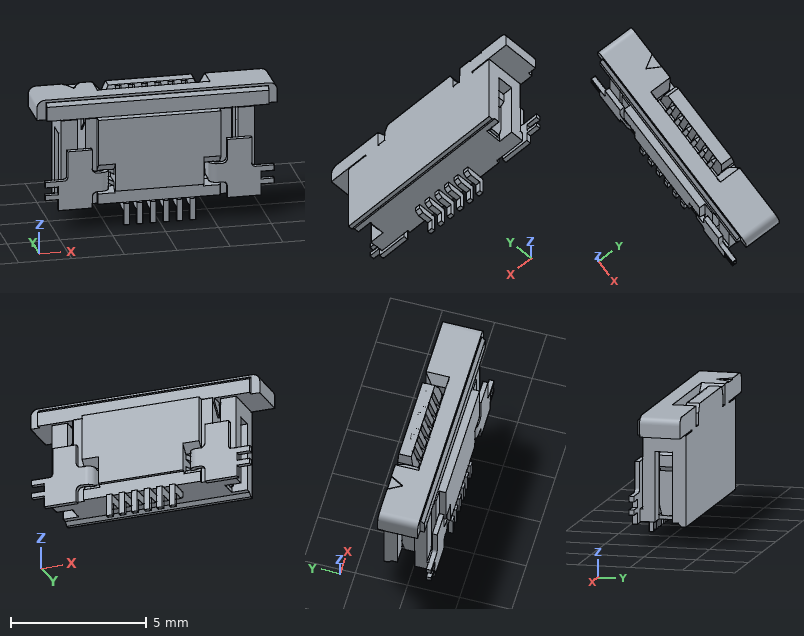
import cadquery as cq


total_length = 9.1
total_depth = 2.0
top_z = 5.0
cover_bottom_z = 4.21
housing_bottom_z = 0.85

cover_front_y = 0.46
cover_corner_radius = 0.3
lip_half_length = 4.2
lip_front_y = 0.3
lip_top_z = 4.9
lip_ledge_y = 0.44
lip_front_z = 4.77
cable_notch_top_half = 2.13
cable_notch_bottom_half = 1.82
cable_notch_front_y = 1.1
cable_notch_slope_height = 0.31
notch_corner_y = 1.71
mark_center_x = -2.94
mark_width = 0.6
mark_length = 0.52
mark_depth = 0.05

housing_half_length = 3.66
housing_front_y = 0.25
core_half_length = 2.77
cheek_inner_x = 3.04
cheek_front_y = 0.355
cheek_top_z = 4.17
foot_band_top_z = 1.32
heel_bottom_z = 0.71
heel_flat = 0.16
channel_back_y = 1.565
window_front_y = 0.82
window_back_y = 1.48
window_top_z = 3.51

pad_half_length = 2.32
pad_step_y = 0.13
pad_step_z = 1.365

leg_inner_x = 2.94
leg_outer_x = 3.15
leg_front_y = 0.855
leg_back_y = 1.45
leg_tip_z = 1.01
leg_taper_z = 1.44
leg_tip_inset = 0.1
root_front_y = 0.79
gusset_outer_x = 2.82
gusset_front_y = 0.3
gusset_nose_z = 4.06
gusset_bottom_z = 3.6
catch_front_y = 0.9
catch_back_y = 1.4
catch_bottom_z = 2.7
catch_height = 0.19

tongue_half_length = 1.78
tongue_top_front_y = 1.52
tongue_base_front_y = 1.27
tongue_side_inset = 0.155
tongue_side_drop = 0.34

contact_count = 6
contact_pitch = 0.5
contact_width = 0.22
contact_slot_front_y = 1.15
contact_peak_y = 1.41
contact_peak_z = 4.19
contact_tip_z = 3.91
contact_slot_back_y = 1.77
contact_slot_top_z = 4.95
tail_thickness = 0.16
tail_back_y = 0.8
tail_root_z = 0.52
tail_chamfer_z = 0.65
tail_chamfer_y = 0.64

tab_thickness = 0.19
tab_inner_x = 2.56
tab_outer_x = 3.485
tab_wide_x = 3.83
tab_top_z = 3.07
tab_bottom_z = 0.76
finger_end_x = 4.33
upper_finger_z = (1.7, 1.92)
lower_finger_z = (1.2, 1.4)
strap_bottom_z = 1.4
strap_top_z = 2.14
strap_bend_radius = 0.3
strap_inner_x = 1.89
tab_outer_fillet = 0.14
tab_inner_fillet = 0.19

pocket_inner_x = 1.67
pocket_top_z = 2.44
pocket_bottom_z = 1.26
pocket_slope_depth = 0.31
pocket_deep_top_z = 2.12
pocket_deep_bottom_z = 1.465
pocket_depth = 0.82
pocket_slot_bottom_z = 1.62
pocket_slot_top_z = 1.92
pocket_slot_depth = 0.91

corner_reach = 0.09


def box(x, y, z):
    """Box from (low, high) pairs along each axis."""
    size = (x[1] - x[0], y[1] - y[0], z[1] - z[0])
    return cq.Workplane("XY").box(*size, centered=False).translate((x[0], y[0], z[0]))


def prism_along_x(points_yz, x):
    """Extrude a YZ outline between two X positions."""
    profile = cq.Workplane("YZ", origin=(x[0], 0, 0)).polyline(points_yz).close()
    return profile.extrude(x[1] - x[0])


def both_ends(shape):
    """The shape together with its mirror image in the X = 0 plane."""
    return shape.union(shape.mirror("YZ"))


def symmetric(half):
    return (-half, half)


def make_cover():
    bar = box(symmetric(total_length / 2), (cover_front_y, total_depth), (cover_bottom_z, top_z))
    bar = bar.edges("|Y and >Z").fillet(cover_corner_radius)
    lip = prism_along_x(
        [
            (cover_front_y, cover_bottom_z),
            (lip_front_y, cover_bottom_z),
            (lip_front_y, lip_front_z),
            (lip_ledge_y, lip_top_z),
            (cover_front_y, lip_top_z),
        ],
        symmetric(lip_half_length),
    )
    slope_foot_z = top_z - cable_notch_slope_height
    notch_depth = total_depth - cable_notch_front_y
    notch = (
        cq.Workplane("XZ", origin=(0, total_depth, 0))
        .polyline(
            [
                (-cable_notch_bottom_half, cover_bottom_z),
                (cable_notch_bottom_half, cover_bottom_z),
                (cable_notch_bottom_half, slope_foot_z),
                (cable_notch_top_half, top_z),
                (-cable_notch_top_half, top_z),
                (-cable_notch_bottom_half, slope_foot_z),
            ]
        )
        .close()
        .extrude(notch_depth)
    )
    notch_flare = (
        cq.Workplane("XY", origin=(0, 0, cover_bottom_z))
        .polyline(
            [
                (-cable_notch_top_half, total_depth),
                (-cable_notch_bottom_half, notch_corner_y),
                (cable_notch_bottom_half, notch_corner_y),
                (cable_notch_top_half, total_depth),
            ]
        )
        .close()
        .extrude(top_z - cover_bottom_z)
    )
    first_contact_mark = (
        cq.Workplane("XY", origin=(mark_center_x, total_depth, top_z - mark_depth))
        .polyline([(-mark_width / 2, 0), (mark_width / 2, 0), (0, -mark_length)])
        .close()
        .extrude(mark_depth)
    )
    return bar.union(lip).cut(notch).cut(notch_flare).cut(first_contact_mark)


def make_housing():
    heel_drop = housing_bottom_z - heel_bottom_z
    heel_y = total_depth - heel_flat
    body = prism_along_x(
        [
            (housing_front_y, housing_bottom_z),
            (heel_y - heel_drop, housing_bottom_z),
            (heel_y, heel_bottom_z),
            (total_depth, heel_bottom_z),
            (total_depth, cheek_top_z),
            (cheek_front_y, cheek_top_z),
            (cheek_front_y, foot_band_top_z),
            (housing_front_y, foot_band_top_z),
        ],
        symmetric(housing_half_length),
    )
    core = box(
        symmetric(core_half_length), (housing_front_y, total_depth), (housing_bottom_z, cover_bottom_z)
    )
    channel = box(
        (core_half_length, cheek_inner_x),
        (cheek_front_y, channel_back_y),
        (leg_tip_z, cover_bottom_z),
    )
    channel_mouth = box(
        (core_half_length, cheek_inner_x),
        (housing_front_y, cheek_front_y),
        (foot_band_top_z, cover_bottom_z),
    )
    window = box(
        (cheek_inner_x, housing_half_length),
        (window_front_y, window_back_y),
        (housing_bottom_z, window_top_z),
    )
    pad = box(symmetric(pad_half_length), (0, housing_front_y), (housing_bottom_z, cover_bottom_z))
    pad_step = box(symmetric(pad_half_length), (0, pad_step_y), (housing_bottom_z, pad_step_z))
    openings = both_ends(channel.union(channel_mouth).union(window))
    return body.union(core).cut(openings).union(pad.cut(pad_step))


def make_strap_pocket():
    """Tapered pocket in the pad, with a ramped inner end and a deeper slot at mid height."""
    tapered = prism_along_x(
        [
            (0, pocket_bottom_z),
            (pad_step_y, pocket_bottom_z),
            (pad_step_y + pocket_deep_bottom_z - pocket_bottom_z, pocket_deep_bottom_z),
            (pocket_depth, pocket_deep_bottom_z),
            (pocket_depth, pocket_deep_top_z),
            (pocket_slope_depth, pocket_deep_top_z),
            (0, pocket_top_z),
        ],
        (pocket_inner_x, pad_half_length),
    )
    plan = (
        cq.Workplane("XY")
        .polyline(
            [
                (pocket_inner_x, 0),
                (pad_half_length, 0),
                (pad_half_length, pocket_depth),
                (strap_inner_x, pocket_depth),
                (pocket_inner_x, pocket_slope_depth),
            ]
        )
        .close()
        .extrude(top_z)
    )
    slot = box(
        (pocket_inner_x, strap_inner_x), (0, pocket_slot_depth), (pocket_slot_bottom_z, pocket_slot_top_z)
    )
    return tapered.intersect(plan).union(slot)


def make_latch_leg():
    """Tapered leg under the cover, with a catch on its outer face and a gusset against the core."""
    leg = prism_along_x(
        [
            (leg_front_y + leg_tip_inset, leg_tip_z),
            (leg_back_y - leg_tip_inset, leg_tip_z),
            (leg_back_y, leg_taper_z),
            (leg_back_y, cover_bottom_z),
            (leg_front_y, cover_bottom_z),
            (leg_front_y, leg_taper_z),
        ],
        (leg_inner_x, leg_outer_x),
    )
    root = box((core_half_length, leg_outer_x), (root_front_y, channel_back_y), (cheek_top_z, cover_bottom_z))
    catch = (
        cq.Workplane("XZ", origin=(0, catch_back_y, 0))
        .polyline(
            [
                (leg_outer_x, catch_bottom_z),
                (leg_outer_x + catch_height, catch_bottom_z + catch_height),
                (leg_outer_x + catch_height, window_top_z - catch_height),
                (leg_outer_x, window_top_z),
            ]
        )
        .close()
        .extrude(catch_back_y - catch_front_y)
    )
    gusset = prism_along_x(
        [
            (gusset_front_y, cover_bottom_z),
            (gusset_front_y, gusset_nose_z),
            (root_front_y, gusset_bottom_z),
            (root_front_y, cover_bottom_z),
        ],
        (core_half_length, gusset_outer_x),
    )
    return leg.union(root).union(gusset).union(catch)


def make_tongue():
    front_slope = prism_along_x(
        [
            (tongue_base_front_y, cover_bottom_z),
            (total_depth, cover_bottom_z),
            (total_depth, top_z),
            (tongue_top_front_y, top_z),
        ],
        symmetric(tongue_half_length),
    )
    top_half = tongue_half_length - tongue_side_inset
    shoulder_z = top_z - tongue_side_drop
    side_slopes = (
        cq.Workplane("XZ", origin=(0, total_depth, 0))
        .polyline(
            [
                (-tongue_half_length, cover_bottom_z),
                (tongue_half_length, cover_bottom_z),
                (tongue_half_length, shoulder_z),
                (top_half, top_z),
                (-top_half, top_z),
                (-tongue_half_length, shoulder_z),
            ]
        )
        .close()
        .extrude(total_depth)
    )
    return front_slope.intersect(side_slopes)


def make_contact_slot(x):
    """Slot through the tongue; its floor is the contact, peaked with a 45 degree front."""
    contact_run = contact_peak_y - contact_slot_front_y
    return prism_along_x(
        [
            (contact_slot_front_y, contact_peak_z - contact_run),
            (contact_peak_y, contact_peak_z),
            (contact_slot_back_y, contact_tip_z),
            (contact_slot_back_y, contact_slot_top_z),
            (contact_slot_front_y, contact_slot_top_z),
        ],
        x,
    )


def make_solder_tail(x):
    return prism_along_x(
        [
            (0, 0),
            (tail_thickness, 0),
            (tail_thickness, tail_root_z),
            (tail_chamfer_y, tail_root_z),
            (tail_back_y, tail_chamfer_z),
            (tail_back_y, housing_bottom_z),
            (0, housing_bottom_z),
        ],
        x,
    )


def make_hold_down():
    """Flat solder tab with two fingers and a strap bent back into the pad pocket."""
    across = (0, tab_thickness)
    bend_x = strap_inner_x + strap_bend_radius
    plate = (
        box((tab_inner_x, tab_outer_x), across, (tab_bottom_z, tab_top_z))
        .union(box((tab_inner_x, tab_wide_x), across, (tab_bottom_z, upper_finger_z[1])))
        .union(box((bend_x, tab_inner_x), across, (strap_bottom_z, strap_top_z)))
        .union(box((tab_outer_x, finger_end_x), across, upper_finger_z))
        .union(box((tab_outer_x, finger_end_x), across, lower_finger_z))
    )

    def corner(x, z):
        return cq.selectors.BoxSelector(
            (x - corner_reach, -corner_reach, z - corner_reach),
            (x + corner_reach, tab_thickness + corner_reach, z + corner_reach),
        )

    plate = plate.edges("|Y").edges(corner(tab_outer_x, upper_finger_z[1])).fillet(tab_outer_fillet)
    for z in (strap_bottom_z, strap_top_z):
        plate = plate.edges("|Y").edges(corner(tab_inner_x, z)).fillet(tab_inner_fillet)

    inner_radius = strap_bend_radius - tab_thickness
    strap = (
        cq.Workplane("XY", origin=(0, 0, strap_bottom_z))
        .moveTo(bend_x, 0)
        .radiusArc((strap_inner_x, strap_bend_radius), strap_bend_radius)
        .lineTo(strap_inner_x, pocket_depth)
        .lineTo(strap_inner_x + tab_thickness, pocket_depth)
        .lineTo(strap_inner_x + tab_thickness, strap_bend_radius)
        .radiusArc((bend_x, tab_thickness), -inner_radius)
        .close()
        .extrude(strap_top_z - strap_bottom_z)
    )
    return plate.union(strap)


result = (
    make_housing()
    .cut(both_ends(make_strap_pocket()))
    .union(make_cover())
    .union(make_tongue())
    .union(both_ends(make_latch_leg()))
    .union(both_ends(make_hold_down()))
)

for index in range(contact_count):
    center_x = (index - (contact_count - 1) / 2) * contact_pitch
    contact_x = (center_x - contact_width / 2, center_x + contact_width / 2)
    result = result.cut(make_contact_slot(contact_x)).union(make_solder_tail(contact_x))